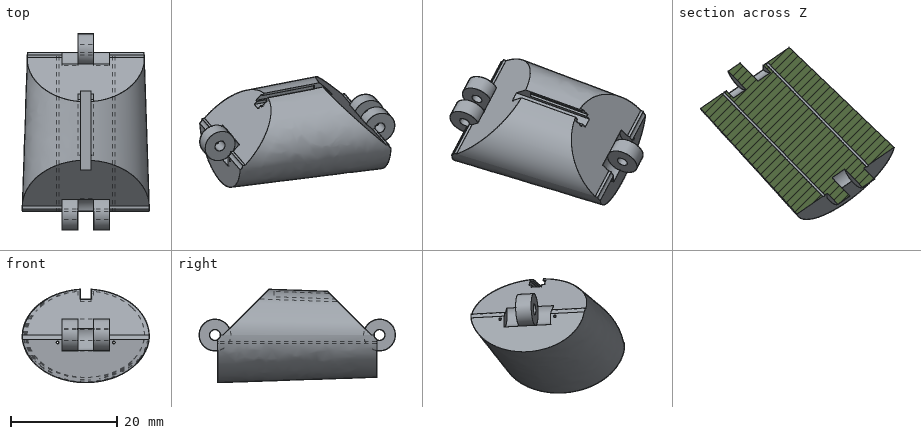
import cadquery as cq
import math

LENGTH = 29.97
FRONT_WIDTH = 24.0
FRONT_HEIGHT = 18.0
REAR_WIDTH = 22.0
REAR_HEIGHT = 16.0
FRONT_Y = -LENGTH / 2
REAR_Y = LENGTH / 2

LEDGE = 1.0

KNUCKLE_RADIUS = 3.0
KNUCKLE_WIDTH = 3.0
PIN_RADIUS = 1.0
AXIS_OVERHANG = 0.5
FRONT_AXIS_Y = FRONT_Y - AXIS_OVERHANG
REAR_AXIS_Y = REAR_Y + AXIS_OVERHANG

SLOT_WIDTH = 2.0
SLOT_DEPTH = 1.95
GROOVE_WIDTH = 3.0
GROOVE_HEIGHT = 1.0
GROOVE_LIFT = 0.5
GROOVE_SETBACK = 10.6
GROOVE_START_Y = FRONT_Y + GROOVE_SETBACK
TAPER_ANGLE = math.degrees(math.atan((FRONT_HEIGHT - REAR_HEIGHT) / 2 / LENGTH))

WIRE_HOLE_DIAMETER = 0.45
WIRE_HOLE_X = 5.3
WIRE_HOLE_Z = -1.4

CUT_MARGIN = 3.7


def x_cylinder(radius, width, x, y):
    """Cylinder parallel to X, at axis height, centred on x."""
    return cq.Workplane("YZ", origin=(x - width / 2, y, 0)).circle(radius).extrude(width)


def make_drum():
    drum = (
        cq.Workplane("XZ", origin=(0, FRONT_Y, 0))
        .ellipse(FRONT_WIDTH / 2, FRONT_HEIGHT / 2)
        .workplane(offset=-LENGTH)
        .ellipse(REAR_WIDTH / 2, REAR_HEIGHT / 2)
        .loft(ruled=True)
    )
    slope_rise = LENGTH / 2 - LEDGE
    outline = [
        (FRONT_Y, -FRONT_HEIGHT),
        (FRONT_Y, 0),
        (FRONT_Y + LEDGE, 0),
        (0, slope_rise),
        (REAR_Y - LEDGE, 0),
        (REAR_Y, 0),
        (REAR_Y, -FRONT_HEIGHT),
    ]
    envelope = cq.Workplane("YZ").polyline(outline).close().extrude(FRONT_WIDTH, both=True)
    return drum.intersect(envelope)


def crest_bar(width, height, lift, start_y):
    """Bar parallel to the crest, lift above the slot floor, running from start_y to the rear end."""
    bar = (
        cq.Workplane("XY")
        .box(width, REAR_Y - start_y, height, centered=(True, False, False))
        .translate((0, start_y - FRONT_Y, lift))
    )
    floor_z = FRONT_HEIGHT / 2 - SLOT_DEPTH
    return bar.rotate((0, 0, 0), (1, 0, 0), -TAPER_ANGLE).translate((0, FRONT_Y, floor_z))


def cut_crest_slot(body):
    slot = crest_bar(SLOT_WIDTH, SLOT_DEPTH + CUT_MARGIN, 0, FRONT_Y)
    groove = crest_bar(GROOVE_WIDTH, GROOVE_HEIGHT, GROOVE_LIFT, GROOVE_START_Y)
    return body.cut(slot).cut(groove)


def add_hinge(body, axis_y, knuckle_places, gap_places):
    """Add knuckles, clear the mating knuckles' gaps and bore for the pin."""
    for place in knuckle_places:
        body = body.union(x_cylinder(KNUCKLE_RADIUS, KNUCKLE_WIDTH, place * KNUCKLE_WIDTH, axis_y))
    for place in gap_places:
        body = body.cut(x_cylinder(KNUCKLE_RADIUS, KNUCKLE_WIDTH, place * KNUCKLE_WIDTH, axis_y))
    return body.cut(x_cylinder(PIN_RADIUS, FRONT_WIDTH + CUT_MARGIN, 0, axis_y))


def cut_wire_holes(body):
    for side in (-1, 1):
        hole = (
            cq.Workplane("XZ", origin=(side * WIRE_HOLE_X, FRONT_Y, WIRE_HOLE_Z))
            .circle(WIRE_HOLE_DIAMETER / 2)
            .extrude(-LENGTH)
        )
        body = body.cut(hole)
    return body


result = make_drum()
result = cut_crest_slot(result)
result = add_hinge(result, FRONT_AXIS_Y, knuckle_places=(-1, 1), gap_places=(0,))
result = add_hinge(result, REAR_AXIS_Y, knuckle_places=(0,), gap_places=(-1, 1))
result = cut_wire_holes(result)